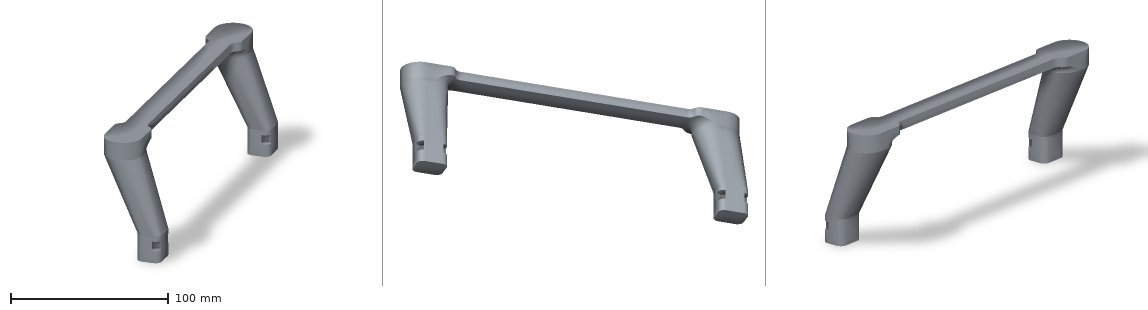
import cadquery as cq
import math

total_length = 227.7
pad_width = 25.0
pad_radius = pad_width / 2
pad_length = 33.2
pad_thickness = 12.0
shoulder_radius = 5.0
bar_width = 15.0
bar_thickness = 6.1
root_length = 31.0
root_fillet = 5.0
root_end_flat = 0.1

leg_height = 49.9
foot_width = 16.0
foot_depth = 20.0
foot_height = 18.0
foot_corner_radius = 4.0
foot_side_offset = 28.0
foot_end_inset = 2.3

notch_radius = 3.5
notch_height = 6.4
notch_drop = 3.5
notch_depth_y = 3.0

half_length = total_length / 2
outer_center_y = half_length - pad_radius
foot_top_z = -pad_thickness - leg_height
foot_center_x = foot_side_offset - foot_width / 2
foot_center_y = half_length - foot_end_inset - foot_depth / 2


def pad_outline(workplane):
    """Pad outline, round outside and blended by small arcs into the bar."""
    half_bar = bar_width / 2
    step_x = (pad_radius - half_bar) / 2
    step_y = math.sqrt(step_x * (2 * shoulder_radius - step_x))
    shoulder_x = half_bar + step_x
    shoulder_y = half_length - pad_length
    bar_y = shoulder_y - step_y
    side_y = shoulder_y + step_y
    return (
        workplane.moveTo(-half_bar, bar_y)
        .radiusArc((-shoulder_x, shoulder_y), -shoulder_radius)
        .radiusArc((-pad_radius, side_y), shoulder_radius)
        .lineTo(-pad_radius, outer_center_y)
        .threePointArc((0, half_length), (pad_radius, outer_center_y))
        .lineTo(pad_radius, side_y)
        .radiusArc((shoulder_x, shoulder_y), shoulder_radius)
        .radiusArc((half_bar, bar_y), -shoulder_radius)
        .close()
    )


def rounded_rectangle(z, center_x, center_y, width, depth, radius):
    """Closed rounded rectangle at height z, as a sketch wire."""
    left = center_x - width / 2
    right = center_x + width / 2
    front = center_y - depth / 2
    back = center_y + depth / 2
    return (
        cq.Workplane("XY")
        .workplane(offset=z)
        .moveTo(left + radius, back)
        .lineTo(right - radius, back)
        .radiusArc((right, back - radius), radius)
        .lineTo(right, front + radius)
        .radiusArc((right - radius, front), radius)
        .lineTo(left + radius, front)
        .radiusArc((left, front + radius), radius)
        .lineTo(left, back - radius)
        .radiusArc((left + radius, back), radius)
        .close()
    )


def root_outline(z):
    """Round-ended outline where the leg meets the pad."""
    center_y = half_length - root_length / 2
    radius = (pad_width - root_end_flat) / 2
    return rounded_rectangle(z, 0, center_y, pad_width, root_length, radius)


def foot_outline(z):
    """Rounded rectangle of the foot."""
    return rounded_rectangle(
        z, foot_center_x, foot_center_y, foot_width, foot_depth, foot_corner_radius
    )


def make_pad():
    """Pad with a concave fillet between the bar underside and the leg root."""
    plate = pad_outline(cq.Workplane("XY")).extrude(-bar_thickness)
    slab = (
        cq.Workplane("XY")
        .center(0, outer_center_y)
        .rect(4 * pad_width, 4 * pad_length)
        .extrude(-bar_thickness)
    )
    root = root_outline(0).extrude(-pad_thickness)
    at_slab_underside = cq.selectors.BoxSelector(
        (-pad_width, half_length - 2 * pad_length, -bar_thickness - 0.2),
        (pad_width, half_length + pad_radius, -bar_thickness + 0.2),
    )
    blended = slab.union(root).edges(at_slab_underside).fillet(root_fillet)
    envelope = pad_outline(cq.Workplane("XY")).extrude(-pad_thickness)
    return plate.union(blended.intersect(envelope))


def make_leg():
    """Slanted leg morphing from the round-ended root to the rounded foot."""
    root = root_outline(-pad_thickness).val()
    foot = foot_outline(foot_top_z).val()
    return cq.Workplane(cq.Solid.makeLoft([root, foot], True))


def make_foot():
    """Upright foot with a round notch at each of its two +X corners."""
    foot = foot_outline(foot_top_z).extrude(-foot_height)
    axis_x = foot_side_offset - notch_radius
    axis_offset_y = foot_depth / 2 - notch_depth_y
    notches = (
        cq.Workplane("XY")
        .workplane(offset=foot_top_z - notch_drop)
        .pushPoints([(axis_x, foot_center_y + side * axis_offset_y) for side in (-1, 1)])
        .circle(notch_radius)
        .extrude(-notch_height)
    )
    return foot.cut(notches)


bar_length = total_length - 2 * pad_length
bar = cq.Workplane("XY").rect(bar_width, bar_length).extrude(-bar_thickness)
end = make_pad().union(make_leg()).union(make_foot())
result = bar.union(end).union(end.mirror("XZ"))